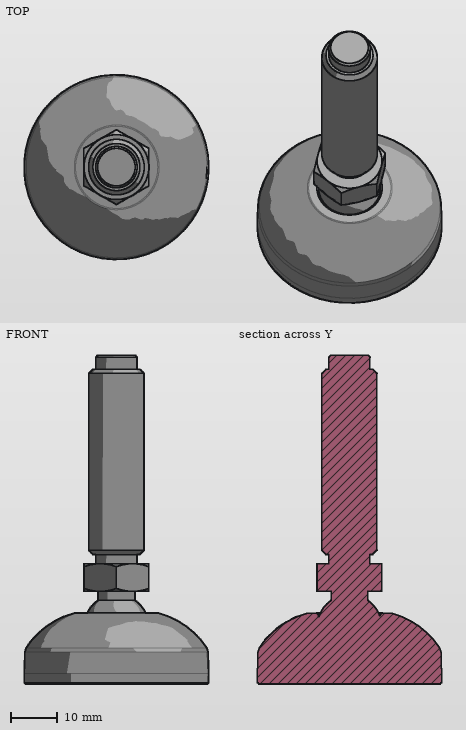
import cadquery as cq
import math

total_height = 71.2
foot_diameter = 40.0
foot_bottom_chamfer = 0.35
foot_band_top = 2.35
foot_taper_top = 7.0
foot_taper_radius = 19.9

dome_start_z = 7.8
dome_start_radius = 19.6
dome_middle_z = 12.2
dome_middle_radius = 15.6
dome_end_z = 15.4
dome_end_radius = 9.2
foot_top = 15.45
foot_top_radius = 8.9

ball_diameter = 14.0
socket_diameter = 13.3
socket_chamfer = 0.4
neck_diameter = 8.05
neck_bottom = 18.15

hex_across_flats = 14.0
hex_height = 6.0
hex_bottom = 20.1
hex_chamfer_angle = 30.0

relief_diameter = 9.0
stud_diameter = 12.0
stud_bottom = 28.05
stud_top = 68.15
stud_chamfer = 0.9
tip_diameter = 9.0
tip_chamfer = 0.4

foot_radius = foot_diameter / 2
ball_radius = ball_diameter / 2
socket_radius = socket_diameter / 2
hex_top = hex_bottom + hex_height
hex_across_corners = hex_across_flats / math.cos(math.radians(30))
ball_center_z = neck_bottom - math.sqrt(ball_radius**2 - (neck_diameter / 2) ** 2)
socket_floor_z = ball_center_z + math.sqrt(ball_radius**2 - socket_radius**2)


def cylinder(diameter, bottom, top):
    """Upright cylinder on the Z axis between two heights."""
    return cq.Workplane("XY").workplane(offset=bottom).circle(diameter / 2).extrude(top - bottom)


def make_foot():
    """Revolved foot with a tapered side, a dome and an open socket around the ball."""
    profile = (
        cq.Workplane("XZ")
        .moveTo(0, 0)
        .lineTo(foot_radius - foot_bottom_chamfer, 0)
        .lineTo(foot_radius, foot_bottom_chamfer)
        .lineTo(foot_radius, foot_band_top)
        .lineTo(foot_taper_radius, foot_taper_top)
        .lineTo(dome_start_radius, dome_start_z)
        .threePointArc((dome_middle_radius, dome_middle_z), (dome_end_radius, dome_end_z))
        .lineTo(foot_top_radius, foot_top)
        .lineTo(socket_radius + socket_chamfer, foot_top)
        .lineTo(socket_radius, foot_top - socket_chamfer)
        .lineTo(socket_radius, socket_floor_z)
        .lineTo(0, socket_floor_z)
        .close()
    )
    return profile.revolve(360, (0, 0, 0), (0, 1, 0))


def make_ball():
    """Ball resting in the foot, cut off below the neck."""
    ball = cq.Workplane("XY").sphere(ball_radius).translate((0, 0, ball_center_z))
    return ball.intersect(cylinder(ball_diameter, ball_center_z, neck_bottom))


def make_hexagon():
    """Hexagon with corners on the Y axis, its corners turned down at both ends."""
    hexagon = (
        cq.Workplane("XY")
        .workplane(offset=hex_bottom)
        .polygon(6, hex_across_corners)
        .extrude(hex_height)
        .rotate((0, 0, 0), (0, 0, 1), 30)
    )
    flat_radius = hex_across_flats / 2
    corner_radius = hex_across_corners / 2
    corner_drop = (corner_radius - flat_radius) * math.tan(math.radians(hex_chamfer_angle))
    envelope = (
        cq.Workplane("XZ")
        .moveTo(0, hex_bottom)
        .lineTo(flat_radius, hex_bottom)
        .lineTo(corner_radius, hex_bottom + corner_drop)
        .lineTo(corner_radius, hex_top - corner_drop)
        .lineTo(flat_radius, hex_top)
        .lineTo(0, hex_top)
        .close()
        .revolve(360, (0, 0, 0), (0, 1, 0))
    )
    return hexagon.intersect(envelope)


def make_stud():
    """Relief groove, chamfered stud and chamfered tip."""
    relief = cylinder(relief_diameter, hex_top, stud_bottom)
    body = cylinder(stud_diameter, stud_bottom, stud_top).edges().chamfer(stud_chamfer)
    tip = cylinder(tip_diameter, stud_top, total_height).faces(">Z").edges().chamfer(tip_chamfer)
    return relief.union(body).union(tip)


neck = cylinder(neck_diameter, neck_bottom, hex_bottom)

result = make_foot().union(make_ball()).union(neck).union(make_hexagon()).union(make_stud())